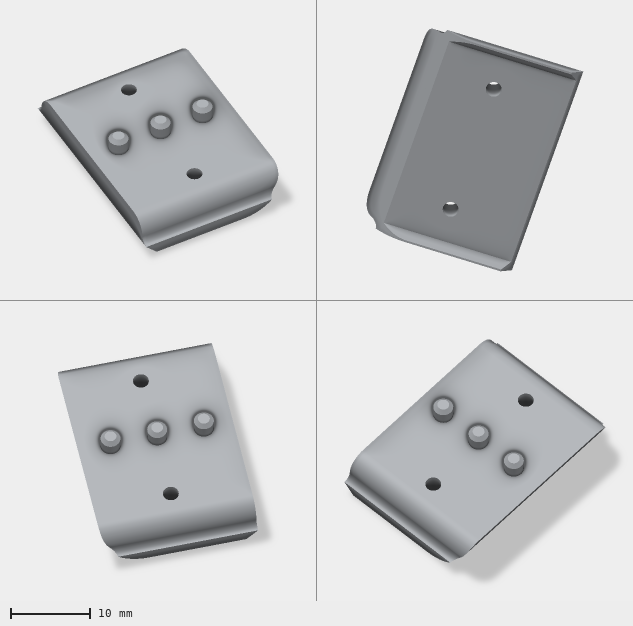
import cadquery as cq
import math

width = 28.4
depth = 19.9
body_top = 4.88

flange_top = 1.5
cove_radius = 1.0
shoulder_radius = body_top - flange_top - cove_radius

channel_height = 1.0
lip_width = 0.25

front_chamfer = flange_top
back_radius = 6.0

pin_diameter = 2.5
pin_top = 7.1
pin_chamfer = 0.5
pin_pitch = 6.0
pin_row_center = -0.17
hole_diameter = 2.0
hole_spacing = 17.15

half_width = width / 2
front = -depth / 2
back = depth / 2


def arc_middle(center_x, center_z, radius, angle):
    """Point on an arc at the given angle in degrees."""
    turn = math.radians(angle)
    return (center_x + radius * math.cos(turn), center_z + radius * math.sin(turn))


def make_body():
    """Cross-section with rounded shoulders and an open channel, extruded along Y."""
    side = half_width - cove_radius
    cove_top = flange_top + cove_radius
    shoulder_x = side - shoulder_radius
    cove_mid = arc_middle(half_width, cove_top, cove_radius, 225)
    shoulder_mid = arc_middle(shoulder_x, cove_top, shoulder_radius, 45)
    lip_inner = half_width - lip_width
    half_profile = (
        cq.Workplane("XZ", origin=(0, back, 0))
        .moveTo(0, channel_height)
        .lineTo(lip_inner - channel_height, channel_height)
        .lineTo(lip_inner, 0)
        .lineTo(half_width, 0)
        .lineTo(half_width, flange_top)
        .threePointArc(cove_mid, (side, cove_top))
        .threePointArc(shoulder_mid, (shoulder_x, body_top))
        .lineTo(0, body_top)
        .close()
    )
    half = half_profile.extrude(depth)
    return half.union(half.mirror("YZ")).clean()


def make_end_envelope():
    """Side outline with a chamfered front and a back arc tangent to the bottom."""
    arc_run = math.sqrt(back_radius**2 - (back_radius - body_top) ** 2)
    arc_start = back - arc_run
    end_angle = math.degrees(math.asin((body_top - back_radius) / back_radius))
    mid_angle = (end_angle - 90) / 2
    return (
        cq.Workplane("YZ")
        .moveTo(front + front_chamfer, 0)
        .lineTo(arc_start, 0)
        .threePointArc(arc_middle(arc_start, back_radius, back_radius, mid_angle), (back, body_top))
        .lineTo(front, body_top)
        .lineTo(front, front_chamfer)
        .close()
        .extrude(half_width, both=True)
    )


def make_pins():
    """Row of chamfered pins along Y on the top face, rooted in the body."""
    root = (body_top + channel_height) / 2
    return (
        cq.Workplane("XY", origin=(0, pin_row_center, root))
        .rarray(0.28, pin_pitch, 1, 3)
        .circle(pin_diameter / 2)
        .extrude(pin_top - root)
        .faces(">Z")
        .chamfer(pin_chamfer)
    )


def make_holes():
    """Pair of vertical through holes on either side of the pin row."""
    return (
        cq.Workplane("XY")
        .rarray(hole_spacing, 0.28, 2, 1)
        .circle(hole_diameter / 2)
        .extrude(pin_top)
    )


result = make_body().intersect(make_end_envelope()).cut(make_holes()).union(make_pins())